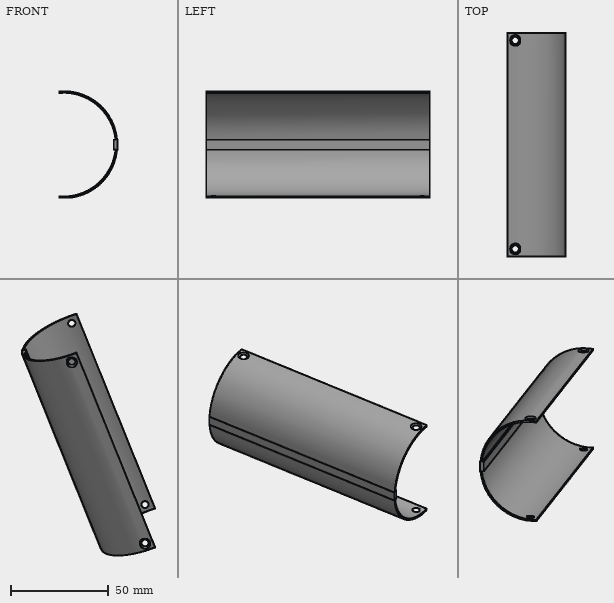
import cadquery as cq
import math

length = 115.0
width = 29.9
height = 54.7
axis_x = 2.3
wall = 0.9

strip_width = 5.2
rib_thickness = 2.1

hole_diameter = 3.5
countersink_diameter = 5.6
hole_from_rim = 4.1
hole_from_end = 3.9

half_height = height / 2
outer_radius = math.hypot(strip_width - axis_x, half_height)
inner_radius = outer_radius - wall
rim_inner_z = math.sqrt(inner_radius**2 - axis_x**2)


def make_shell():
    """Thin half tube cut flat along the outside of both rims."""
    profile = (
        cq.Workplane("XZ")
        .moveTo(0, half_height)
        .lineTo(strip_width, half_height)
        .threePointArc((axis_x + outer_radius, 0), (strip_width, -half_height))
        .lineTo(0, -half_height)
        .lineTo(0, -rim_inner_z)
        .threePointArc((axis_x + inner_radius, 0), (0, rim_inner_z))
        .close()
    )
    return profile.extrude(length / 2, both=True)


def make_rib():
    """Rectangular strip through the middle of the shell, standing proud inside and out."""
    rib_center_x = width - rib_thickness / 2
    return cq.Workplane("XY").box(rib_thickness, length, strip_width).translate((rib_center_x, 0, 0))


def make_hole_cutter(y, side):
    """Countersink and bore through one rim; side is +1 for the top rim, -1 for the bottom."""
    countersink_radius = countersink_diameter / 2
    bore_radius = hole_diameter / 2
    cutter_depth = 2 * wall
    half_section = (
        cq.Workplane("XZ")
        .polyline([
            (0, 0),
            (countersink_radius, 0),
            (bore_radius, -wall),
            (bore_radius, -cutter_depth),
            (0, -cutter_depth),
        ])
        .close()
    )
    cutter = half_section.revolve(360, (0, 0), (0, 1))
    if side < 0:
        cutter = cutter.mirror("XY")
    return cutter.translate((hole_from_rim, y, side * half_height))


result = make_shell().union(make_rib())
hole_y = length / 2 - hole_from_end
for y in (-hole_y, hole_y):
    for side in (1, -1):
        result = result.cut(make_hole_cutter(y, side))